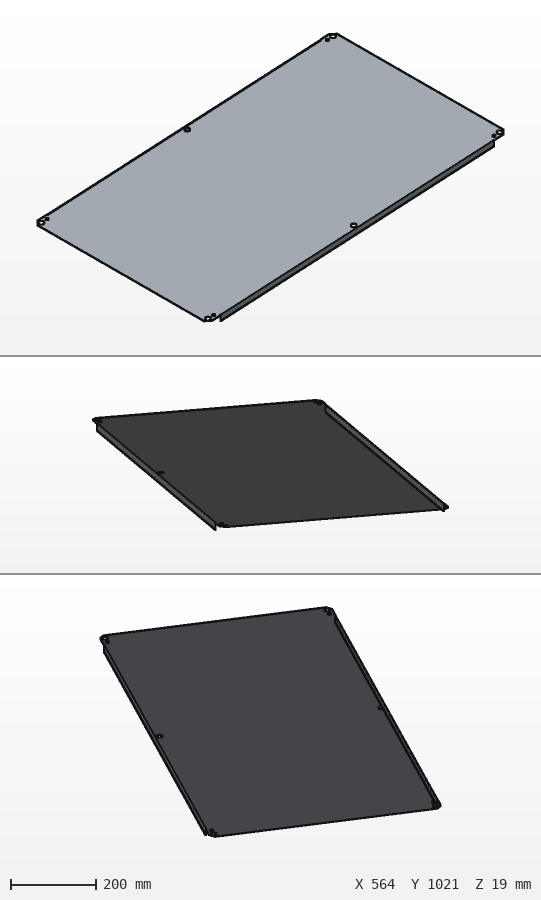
import cadquery as cq

width = 564.0
length = 1021.0
height = 19.0
thickness = 2.0
corner_chamfer = 12.0
bend_radius = 1.5

flange_end_gap = 44.0
flange_length = length - 2 * flange_end_gap

mounting_diameter = 14.0
pilot_diameter = 8.0
hole_side_inset = 12.0
mounting_end_inset = 13.0
pilot_end_inset = 33.0

hole_x = width / 2 - hole_side_inset
mounting_y = length / 2 - mounting_end_inset
pilot_y = length / 2 - pilot_end_inset


def make_plate():
    """Flat sheet with its top face at Z = 0 and its four corners cut off."""
    sheet = cq.Workplane("XY").box(width, length, thickness, centered=(True, True, False))
    return sheet.translate((0, 0, -thickness)).edges("|Z").chamfer(corner_chamfer)


def make_flange(side):
    """Flange hanging from the plate edge on the given X side (-1 or 1)."""
    flange = cq.Workplane("XY").box(thickness, flange_length, height, centered=(True, True, False))
    return flange.translate((side * (width - thickness) / 2, 0, -height))


def make_bend_trim(side):
    """Material outside the rounded outer edge of the bend on the given X side (-1 or 1)."""
    center_x = side * (width / 2 - bend_radius)
    corner = cq.Workplane("XY").box(bend_radius, flange_length, bend_radius)
    corner = corner.translate((center_x + side * bend_radius / 2, 0, -bend_radius / 2))
    round_edge = cq.Workplane("XZ").center(center_x, -bend_radius).circle(bend_radius)
    return corner.cut(round_edge.extrude(flange_length / 2, both=True))


def make_hole_cutters(diameter, y_positions):
    """Cylinders through the plate in a row along both long sides."""
    centers = [(side * hole_x, y) for side in (-1, 1) for y in y_positions]
    cutters = cq.Workplane("XY").pushPoints(centers)
    return cutters.circle(diameter / 2).extrude(-thickness)


result = make_plate()
for flange_side in (-1, 1):
    result = result.union(make_flange(flange_side))
    result = result.cut(make_bend_trim(flange_side))
result = result.cut(make_hole_cutters(mounting_diameter, (-mounting_y, 0, mounting_y)))
result = result.cut(make_hole_cutters(pilot_diameter, (-pilot_y, pilot_y)))